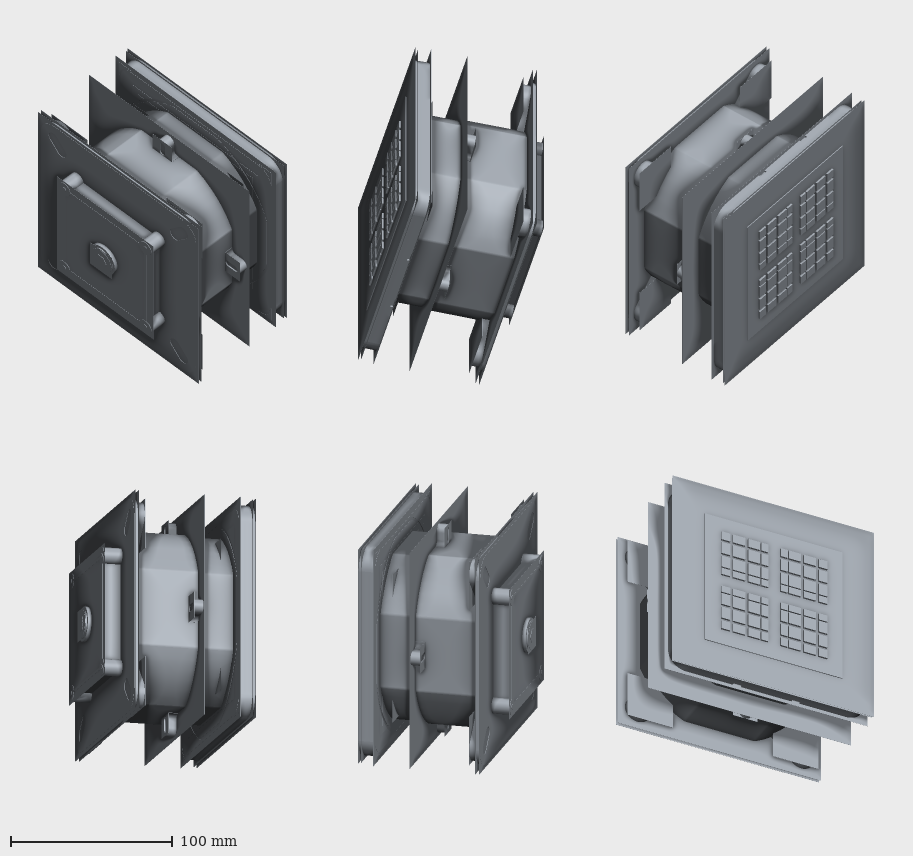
import cadquery as cq
import math

SHEET = 0.08
RAISE = 0.1
BODY_HALF = 67.8
SHEET_HALF = 70.2
BODY_CORNER = 12.6

BASE_REAR_Y = 2.5
JOINT_Y = 44.6
FLANGE_Y = 67.7
COVER_Y = 75.8
COVER_REAR_Y = 77.8
GRILLE_Y = 78.3
GRILLE_TOP_Y = 79.6
BOX_FRONT_Y = -11.8
KNOB_STEP_Y = -14.2
KNOB_FACE_Y = -15.3
KNOB_TIP_Y = -15.7

REAR_DRUM_FLAT = 53.8
REAR_DRUM_RADIUS = 58.8
DRUM_STEP = 1.1
DRUM_EDGE_RADIUS = 3.5
SUPPORT_HALF = 48.2
SUPPORT_Y = 61.1

PAD_HALF = 66.7
SEAL_WIDTH = 1.3
SEAL_CORNER = 11.2
RING_FLAT = 64.2
RING_RADIUS = 67.1
RING_WIDTH = 2.0
STEP_HALVES = (55.3, 50.3)
NOTCH_OFFSET = 20.2
NOTCH_WIDTH = 5.8
NOTCH_DEPTH = 1.7
NOTCH_INSET = 1.3

EAR_THICKNESS = 6.2
EAR_RADIUS = 4.4
EAR_BASE_HALF = 8.4
EAR_SLOT_RADIUS = 2.2
EAR_SLOT_DEPTH = 0.8
EAR_FOOT = 0.3
EAR_FLARE = 2.7

LUG_CENTRE = 56.6
LUG_INNER = 40.7
LUG_RADIUS = 8.7
LUG_THICKNESS = 5.0
LUG_SHEET_INNER = 34.5
LUG_SHEET_OUTER = 66.0
SLOT_RADIUS = 4.4
SLOT_INNER = 49.7
SLOT_DEPTH = 0.3

BOX_SHEET_HALF = 42.1
BOX_HALF = 36.1
BOX_WALL = 1.7
POST_CENTRE = 35.5
POST_RADIUS = 5.2
POST_RISE = 0.3
PIN_RADIUS = 1.7
PIN_RISE = 0.3

KNOB_FLANGE_RADIUS = 11.0
KNOB_RADIUS = 9.1
KNOB_SHEET_HALF = 9.7
HEX_DIAMETER = 9.7

COVER_FRONT_SHEET_HALF = 69.1
COVER_REAR_SHEET_HALF = 69.6
GRILLE_PLATE_HALF = 47.6
GRILLE_HALF = 36.6
GRILLE_GAPS = ((0.0, 8.7), (9.5, 0.8), (19.2, 2.0), (29.6, 2.0))

CORNERS = ((1, 1), (1, -1), (-1, 1), (-1, -1))


def plane_at(y):
    """Workplane facing -Y at station y; its axes are X and Z."""
    return cq.Workplane("XZ", origin=(0, y, 0))


def square(half, y0, y1):
    return plane_at(y0).rect(2 * half, 2 * half).extrude(y0 - y1)


def disc(radius, y0, y1):
    return plane_at(y0).circle(radius).extrude(y0 - y1)


def rounded_square(half, corner, y0, y1):
    return square(half, y0, y1).edges("|Y").fillet(corner)


def flatted_disc(flat, radius, y0, y1):
    return disc(radius, y0, y1).intersect(square(flat, y0, y1))


def drum(flat, radius, y0, y1):
    return flatted_disc(flat, radius, y0, y1).edges("|Y").fillet(DRUM_EDGE_RADIUS)


def diagonal_slot(inner, outer, radius, y0, y1):
    """Round-ended bar along the 45 degree diagonal, between two distances along X and Z."""
    middle = (inner + outer) / 2
    length = (outer - inner) * math.sqrt(2) + 2 * radius
    return plane_at(y0).center(middle, middle).slot2D(length, 2 * radius, 45).extrude(y0 - y1)


def four_around(shape):
    """The four copies of a shape turned about the Y axis by quarter turns."""
    return [shape.rotate((0, 0, 0), (0, 1, 0), 90 * i) for i in range(4)]


def make_cover():
    cover = rounded_square(BODY_HALF, BODY_CORNER, COVER_Y, COVER_REAR_Y)
    cover = cover.union(square(COVER_FRONT_SHEET_HALF, COVER_Y, COVER_Y + SHEET))
    cover = cover.union(square(COVER_REAR_SHEET_HALF, COVER_REAR_Y - SHEET, COVER_REAR_Y))
    cover = cover.union(square(GRILLE_PLATE_HALF, COVER_REAR_Y, GRILLE_Y))
    return cover.union(make_grille())


def make_grille():
    """Square field of blocks left between crossing grooves."""
    grille = square(GRILLE_HALF, GRILLE_Y, GRILLE_TOP_Y)
    height = GRILLE_TOP_Y - GRILLE_Y
    for centre, width in GRILLE_GAPS:
        groove = plane_at(GRILLE_Y).center(centre, 0).rect(width, 2 * GRILLE_HALF).extrude(-height)
        for turned in four_around(groove):
            grille = grille.cut(turned)
    return grille


def make_rear_housing():
    housing = rounded_square(BODY_HALF, BODY_CORNER, FLANGE_Y, COVER_Y)
    for side in (1, -1):
        for offset in (NOTCH_OFFSET, -NOTCH_OFFSET):
            notch = cq.Workplane("XY").box(NOTCH_WIDTH, 2 * NOTCH_DEPTH, 2 * NOTCH_INSET)
            housing = housing.cut(notch.translate((offset, FLANGE_Y, side * BODY_HALF)))
    housing = housing.union(square(SHEET_HALF, FLANGE_Y, FLANGE_Y + SHEET))
    housing = housing.union(make_flange_face())
    housing = housing.union(drum(REAR_DRUM_FLAT, REAR_DRUM_RADIUS, JOINT_Y, FLANGE_Y))
    return housing.union(square(SUPPORT_HALF, SUPPORT_Y, SUPPORT_Y + SHEET))


def make_flange_face():
    """Shallow pad with a seal groove, a ring groove and two square steps."""
    pad_y = FLANGE_Y - RAISE
    top_y = pad_y - len(STEP_HALVES) * RAISE
    pad = square(PAD_HALF, pad_y, FLANGE_Y)
    for level, half in enumerate(STEP_HALVES, start=1):
        pad = pad.union(square(half, pad_y - level * RAISE, FLANGE_Y))
    seal = rounded_square(PAD_HALF, SEAL_CORNER, pad_y, FLANGE_Y)
    seal_core = rounded_square(PAD_HALF - SEAL_WIDTH, SEAL_CORNER - SEAL_WIDTH, pad_y, FLANGE_Y)
    ring = flatted_disc(RING_FLAT, RING_RADIUS, top_y, FLANGE_Y)
    ring_core = flatted_disc(RING_FLAT - RING_WIDTH, RING_RADIUS - RING_WIDTH, top_y, FLANGE_Y)
    return pad.cut(seal.cut(seal_core)).cut(ring.cut(ring_core))


def make_front_housing():
    flat = REAR_DRUM_FLAT + DRUM_STEP
    radius = REAR_DRUM_RADIUS + DRUM_STEP
    housing = drum(flat, radius, BASE_REAR_Y, JOINT_Y)
    housing = housing.union(square(SHEET_HALF, JOINT_Y - SHEET, JOINT_Y))
    for ear in four_around(make_ear(flat)):
        housing = housing.union(ear)
    for lug in four_around(make_lug()):
        housing = housing.union(lug)
    return housing


def make_ear(root):
    """Slotted ear on the +Z flat, flared where it meets the drum, with its front sheet."""
    front_y = JOINT_Y - EAR_THICKNESS
    round_z = BODY_HALF - EAR_RADIUS
    foot_z = root + EAR_FOOT
    neck_z = foot_z + EAR_FLARE
    flare_end = EAR_RADIUS + EAR_FLARE
    bend = EAR_FLARE * (1 - math.sqrt(0.5))
    ear = (
        plane_at(front_y)
        .moveTo(-EAR_BASE_HALF, root)
        .lineTo(-EAR_BASE_HALF, foot_z)
        .lineTo(-flare_end, foot_z)
        .threePointArc((-EAR_RADIUS - bend, foot_z + bend), (-EAR_RADIUS, neck_z))
        .lineTo(-EAR_RADIUS, round_z)
        .threePointArc((0, BODY_HALF), (EAR_RADIUS, round_z))
        .lineTo(EAR_RADIUS, neck_z)
        .threePointArc((EAR_RADIUS + bend, foot_z + bend), (flare_end, foot_z))
        .lineTo(EAR_BASE_HALF, foot_z)
        .lineTo(EAR_BASE_HALF, root)
        .close()
        .extrude(-EAR_THICKNESS)
    )
    sheet = (
        plane_at(front_y)
        .center(0, (root + BODY_HALF) / 2)
        .rect(2 * EAR_BASE_HALF, BODY_HALF - root)
        .extrude(-SHEET)
    )
    slot_length = round_z + EAR_SLOT_RADIUS - foot_z
    slot = (
        plane_at(front_y)
        .center(0, foot_z + slot_length / 2)
        .slot2D(slot_length, 2 * EAR_SLOT_RADIUS, 90)
        .extrude(-EAR_SLOT_DEPTH)
    )
    return ear.union(sheet).cut(slot)


def make_lug():
    """Round-ended lug running from the drum to the (+X, +Z) corner, with its rear sheet."""
    rear_y = BASE_REAR_Y + LUG_THICKNESS
    lug = diagonal_slot(LUG_INNER, LUG_CENTRE, LUG_RADIUS, BASE_REAR_Y, rear_y)
    middle = (LUG_SHEET_INNER + LUG_SHEET_OUTER) / 2
    side = LUG_SHEET_OUTER - LUG_SHEET_INNER
    sheet = plane_at(rear_y).center(middle, middle).rect(side, side).extrude(SHEET)
    return lug.union(sheet)


def make_base():
    base = rounded_square(BODY_HALF, BODY_CORNER, -RAISE, BASE_REAR_Y)
    base = base.union(square(SHEET_HALF, 0, SHEET))
    base = base.union(square(SHEET_HALF, BASE_REAR_Y - SHEET, BASE_REAR_Y))
    slot = diagonal_slot(SLOT_INNER, LUG_CENTRE, SLOT_RADIUS, -RAISE, SLOT_DEPTH - RAISE)
    for turned in four_around(slot):
        base = base.cut(turned)
    return base.union(make_box())


def make_box():
    """Box with a front sheet, a raised rim, and a post with a pin at each corner."""
    rim_y = BOX_FRONT_Y - RAISE
    post_y = BOX_FRONT_Y - POST_RISE
    box = square(BOX_HALF, BOX_FRONT_Y, 0)
    box = box.union(square(BOX_SHEET_HALF, BOX_FRONT_Y, BOX_FRONT_Y + SHEET))
    rim = square(BOX_HALF, rim_y, BOX_FRONT_Y)
    box = box.union(rim.cut(square(BOX_HALF - BOX_WALL, rim_y, BOX_FRONT_Y)))
    for sx, sz in CORNERS:
        place = (sx * POST_CENTRE, 0, sz * POST_CENTRE)
        box = box.union(disc(POST_RADIUS, post_y, 0).translate(place))
        box = box.union(disc(PIN_RADIUS, post_y - PIN_RISE, post_y).translate(place))
    return box


def make_knob():
    knob = disc(KNOB_FLANGE_RADIUS, KNOB_STEP_Y, BOX_FRONT_Y)
    knob = knob.union(disc(KNOB_RADIUS, KNOB_FACE_Y - RAISE, KNOB_STEP_Y))
    knob = knob.union(square(KNOB_SHEET_HALF, KNOB_FACE_Y, KNOB_FACE_Y + SHEET))
    tip = plane_at(KNOB_TIP_Y).polygon(6, HEX_DIAMETER).extrude(KNOB_TIP_Y - KNOB_FACE_Y)
    return knob.union(tip)


cover = make_cover()
rear_housing = make_rear_housing()
front_housing = make_front_housing()
base = make_base()
knob = make_knob()

bodies = [cover, rear_housing, front_housing, base, knob]
result = cq.Compound.makeCompound([body.solids().val() for body in bodies])